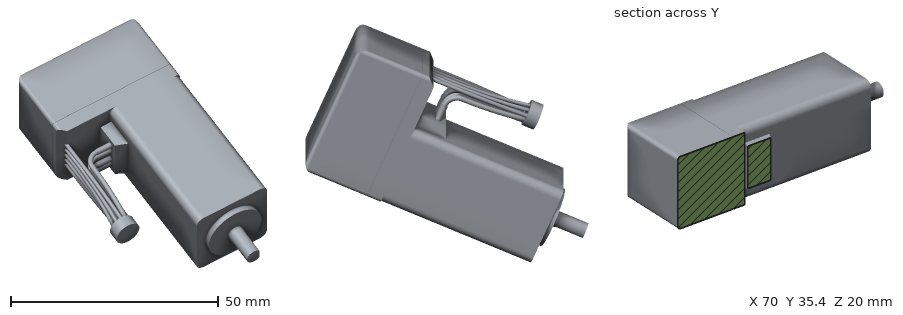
import cadquery as cq

total_length = 70
total_depth = 35.35
width = 20.0
half_width = width / 2

housing_length = 20.5
housing_depth = 34.0
housing_end_radius = 2.45
housing_edge_radius = 1.0
housing_chamfer = 1.95
groove_x = 16.8
groove_width = 0.2
groove_depth = 0.105
housing_front_y = half_width - housing_depth

body_end_x = 60.0
body_corner_radius = 2.0
pilot_diameter = 15.0
pilot_length = 1.5
shaft_diameter = 4.0
shaft_flat_x = 62.85
shaft_flat_depth = 0.5

outlet_x = 21.3
outlet_length = 7.8
outlet_tip_length = 6.45
outlet_height = 3.0
outlet_width = 12.05
outlet_tip_width = 11.6
outlet_tip_y = -half_width - outlet_height

plug_x = 45.0
plug_diameter = 6.5
plug_length = 3.0
plug_y = half_width - total_depth + plug_diameter / 2

wire_end_x = plug_x + 0.35
signal_wire_pitch = 2.0
signal_wire_diameter = 1.0
signal_wire_start_x = housing_length - housing_chamfer
signal_wire_straight_end_x = 24.4
power_wire_pitch = 1.8
power_wire_diameter = 1.25
power_stub_diameter = 1.55
power_stub_x = 25.7
power_stub_end_y = -16.95
power_bend_radius = 3.2

signal_wire_ends = [(0, -1.95, 0), (1, -1.0, 0.9), (2, 0, 2.45)]
power_wire_ends = [(1, 1.9, 0.7), (2, 1.2, 1.7)]


def box_between(x_min, x_max, y_min, y_max, z_size):
    """Box with the given X and Y limits, centred on Z = 0."""
    return (
        cq.Workplane("XY")
        .box(x_max - x_min, y_max - y_min, z_size, centered=(False, False, True))
        .translate((x_min, y_min, 0))
    )


def rod(x, diameter, length):
    """Cylinder on the shaft axis, starting at x and running toward +X."""
    return cq.Workplane("YZ", origin=(x, 0, 0)).circle(diameter / 2).extrude(length)


def make_housing():
    """Block common to three rounded prisms, so that its edge rounds meet in mitres."""
    block = box_between(0, housing_length, housing_front_y, half_width, width)
    plan = block.edges("|Z and <X").fillet(housing_end_radius)
    plan = plan.edges("|Z and >X and <Y").chamfer(housing_chamfer)
    side = block.edges("|Y and <X").fillet(housing_edge_radius)
    end = block.edges("|X").fillet(housing_edge_radius)
    return plan.intersect(side).intersect(end)


def make_groove():
    """Shallow parting groove that runs all around the housing."""
    x_min = groove_x - groove_width / 2
    x_max = groove_x + groove_width / 2
    band = box_between(x_min, x_max, housing_front_y, half_width, width)
    core_front_y = housing_front_y + groove_depth
    core_back_y = half_width - groove_depth
    core = box_between(x_min, x_max, core_front_y, core_back_y, width - 2 * groove_depth)
    return band.cut(core.edges("|X").fillet(housing_edge_radius - groove_depth))


def make_body():
    body = box_between(housing_length, body_end_x, -half_width, half_width, width)
    return body.edges("|X").fillet(body_corner_radius)


def make_shaft():
    """Output shaft with a flat on its +Y side."""
    shaft_x = body_end_x + pilot_length
    shaft = rod(shaft_x, shaft_diameter, total_length - shaft_x)
    flat_y = shaft_diameter / 2 - shaft_flat_depth
    return shaft.cut(box_between(shaft_flat_x, total_length, flat_y, shaft_diameter, shaft_diameter))


def make_outlet():
    """Tapered block that narrows away from the motor body, with a straight face toward the housing."""
    return (
        cq.Workplane("XZ", origin=(outlet_x, -half_width, 0))
        .center(outlet_length / 2, 0)
        .rect(outlet_length, outlet_width)
        .workplane(offset=outlet_height)
        .center((outlet_tip_length - outlet_length) / 2, 0)
        .rect(outlet_tip_length, outlet_tip_width)
        .loft()
    )


def make_plug():
    return rod(plug_x, plug_diameter, plug_length).translate((0, plug_y, 0))


def make_curved_wire(start, end, diameter):
    """Wire that leaves start along +X and bends gradually to end."""
    middle = ((start[0] + end[0]) / 2, start[1], start[2])
    path = cq.Workplane("XY").bezier([start, middle, end])
    return cq.Workplane("YZ", origin=start).circle(diameter / 2).sweep(path)


def make_signal_wire(slot_z, end_y, end_z):
    """Wire from the housing chamfer, first straight, then curving to the plug."""
    straight_length = signal_wire_straight_end_x - signal_wire_start_x
    straight = rod(signal_wire_start_x, signal_wire_diameter, straight_length).translate((0, plug_y, slot_z))
    curve_start = (signal_wire_straight_end_x, plug_y, slot_z)
    curve = make_curved_wire(curve_start, (wire_end_x, end_y, end_z), signal_wire_diameter)
    return straight.union(curve)


def make_power_wire(slot_z, end_y, end_z):
    """Wire from the outlet block: thick stub, quarter bend, then a curve to the plug."""
    stub = (
        cq.Workplane("XZ", origin=(power_stub_x, outlet_tip_y, slot_z))
        .circle(power_stub_diameter / 2)
        .extrude(outlet_tip_y - power_stub_end_y)
    )
    bend = (
        cq.Workplane("XZ", origin=(power_stub_x, power_stub_end_y, slot_z))
        .circle(power_wire_diameter / 2)
        .revolve(90, (power_bend_radius, 0), (power_bend_radius, 1))
    )
    curve_start = (power_stub_x + power_bend_radius, power_stub_end_y - power_bend_radius, slot_z)
    curve = make_curved_wire(curve_start, (wire_end_x, end_y, end_z), power_wire_diameter)
    return stub.union(bend).union(curve)


def make_wires(make_wire, pitch, wire_ends):
    """List of wires mirrored about Z = 0; slot 0 holds a single central wire."""
    wires = []
    for slot, end_y, end_z in wire_ends:
        sides = (1, -1) if slot else (1,)
        for side in sides:
            wires.append(make_wire(side * slot * pitch, plug_y + end_y, side * end_z))
    return wires


result = make_housing().cut(make_groove())
result = result.union(make_body())
result = result.union(rod(body_end_x, pilot_diameter, pilot_length))
result = result.union(make_shaft())
result = result.union(make_outlet())
result = result.union(make_plug())
for wire in make_wires(make_signal_wire, signal_wire_pitch, signal_wire_ends):
    result = result.union(wire)
for wire in make_wires(make_power_wire, power_wire_pitch, power_wire_ends):
    result = result.union(wire)